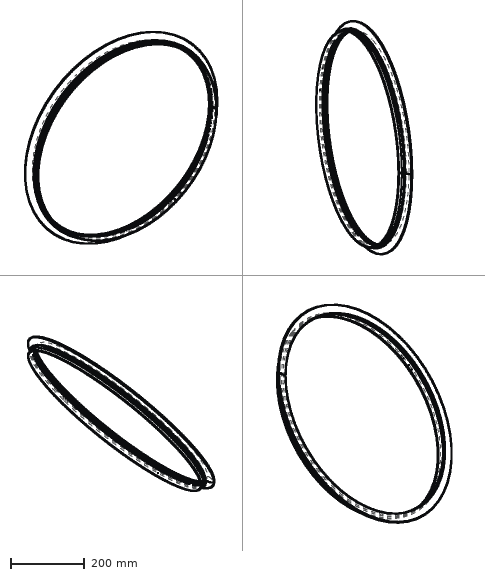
import cadquery as cq

outer_radius = 321.5
width = 32.0

face_radius = 320.0
rim_width = 4.0
flange_back = 13.0
dome_end_radius = 302.0
dome_mid = (9.5, 314.0)

sleeve_radius = 300.0
bead_start = 13.5
bead_peak = 17.5
bead_end = 22.5
bead_radius = 303.5
face_bore_radius = 296.0
ridge_peak = 7.0
ridge_radius = 294.0
recess_x = 9.0
recess_radius = 298.0
throat_x = 19.0
throat_radius = 296.0
mouth_radius = 298.0
end_bevel_length = 1.0
end_bevel_depth = 0.5

split_width = 0.5


def make_ring():
    """Turn the half section, drawn in X and radius, about the X axis."""
    section = (
        cq.Workplane("XY")
        .moveTo(0, face_bore_radius)
        .lineTo(0, face_radius)
        .lineTo(rim_width, outer_radius)
        .threePointArc(dome_mid, (flange_back, dome_end_radius))
        .lineTo(flange_back, sleeve_radius)
        .lineTo(bead_start, sleeve_radius)
        .lineTo(bead_peak, bead_radius)
        .lineTo(bead_end, sleeve_radius)
        .lineTo(width - end_bevel_length, sleeve_radius)
        .lineTo(width, sleeve_radius - end_bevel_depth)
        .lineTo(width, mouth_radius)
        .threePointArc((throat_x, throat_radius), (recess_x, recess_radius))
        .lineTo(ridge_peak, ridge_radius)
        .close()
    )
    return section.revolve(360, (0, 0, 0), (1, 0, 0))


def make_split():
    """Thin slot that opens the ring on its +Y side."""
    return cq.Workplane("XY").box(
        width, outer_radius, split_width, centered=(False, False, True)
    )


result = make_ring().cut(make_split())